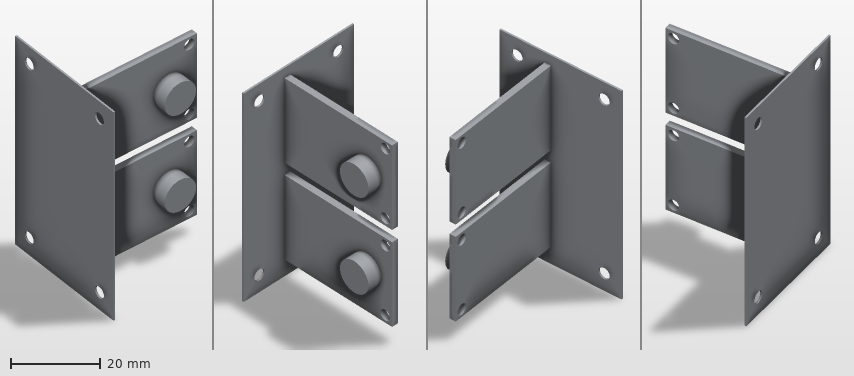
import cadquery as cq

PLATE_WIDTH = 35.0
PLATE_HEIGHT = 60.0
PLATE_THICKNESS = 0.5
PLATE_HOLE_DIAMETER = 3.2
PLATE_HOLE_INSET = 5.0

TOTAL_DEPTH = 34.5
BOARD_THICKNESS = 1.8
BOARD_HEIGHT = 24.35
BOARD_X = 2.75
BOARD_PITCH = 27.9
BOARD_CENTRE_Z = 0.95
BOARD_HOLE_DIAMETER = 3.0
BOARD_HOLE_INSET = 2.15

BOSS_DIAMETER = 9.0
BOSS_LENGTH = 4.0
BOSS_Y = 26.5


def make_plate():
    plate = cq.Workplane("XY").box(PLATE_WIDTH, PLATE_THICKNESS, PLATE_HEIGHT, centered=(True, False, True))
    return (
        plate.faces("<Y").workplane(centerOption="CenterOfBoundBox")
        .rect(PLATE_WIDTH - 2 * PLATE_HOLE_INSET, PLATE_HEIGHT - 2 * PLATE_HOLE_INSET, forConstruction=True)
        .vertices().hole(PLATE_HOLE_DIAMETER)
    )


def make_board(centre_z):
    profile = cq.Workplane("YZ", origin=(BOARD_X, 0, centre_z))
    board = profile.center(TOTAL_DEPTH / 2, 0).rect(TOTAL_DEPTH, BOARD_HEIGHT).extrude(BOARD_THICKNESS)
    hole_y = TOTAL_DEPTH - BOARD_HOLE_INSET
    hole_z = BOARD_HEIGHT / 2 - BOARD_HOLE_INSET
    holes = (
        cq.Workplane("YZ", origin=(BOARD_X, 0, centre_z))
        .pushPoints([(hole_y, hole_z), (hole_y, -hole_z)])
        .circle(BOARD_HOLE_DIAMETER / 2).extrude(BOARD_THICKNESS)
    )
    boss = (
        cq.Workplane("YZ", origin=(BOARD_X + BOARD_THICKNESS, BOSS_Y, centre_z))
        .circle(BOSS_DIAMETER / 2).extrude(BOSS_LENGTH)
    )
    return board.cut(holes).union(boss)


result = make_plate()
for side in (-1, 1):
    result = result.union(make_board(BOARD_CENTRE_Z + side * BOARD_PITCH / 2))